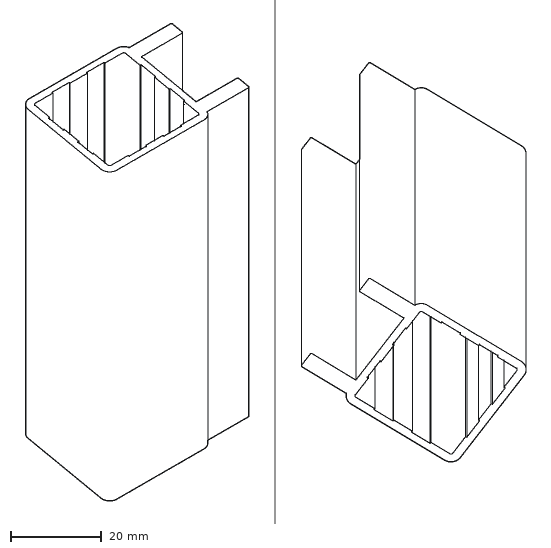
import cadquery as cq

length = 100.0
tube_side = 30.0
wall = 2.0
outer_radius = 2.5
inner_radius = 0.5

groove_width = 5.0
groove_depth = 0.3
groove_offset = 5.0

total_depth = 42.0
flange_thickness = 4.0
flange_inset = 1.6
tip_radius = 0.3

bore_side = tube_side - 2 * wall
flange_height = total_depth - tube_side


def rounded_square_bar(side, radius):
    """Square bar centred on the Z axis with rounded long edges."""
    return cq.Workplane("XY").rect(side, side).extrude(length).edges("|Z").fillet(radius)


def flange(direction):
    """Flange on the -X or +X side, rooted inside the tube wall."""
    root = tube_side / 2 - wall
    height = flange_height + wall
    centre_x = direction * (tube_side / 2 - flange_inset - flange_thickness / 2)
    return (
        cq.Workplane("XY")
        .center(centre_x, root + height / 2)
        .rect(flange_thickness, height)
        .extrude(length)
        .edges("|Z and >Y")
        .fillet(tip_radius)
    )


def grooved_bore():
    """Square bore widened by bars that cut the grooves in opposite walls."""
    bore = rounded_square_bar(bore_side, inner_radius)
    groove_span = bore_side + 2 * groove_depth
    for offset in (-groove_offset, groove_offset):
        across_y = cq.Workplane("XY").center(offset, 0).rect(groove_width, groove_span)
        across_x = cq.Workplane("XY").center(0, offset).rect(groove_span, groove_width)
        bore = bore.union(across_y.extrude(length)).union(across_x.extrude(length))
    return bore


body = rounded_square_bar(tube_side, outer_radius)
for side in (-1, 1):
    body = body.union(flange(side))

result = body.cut(grooved_bore())